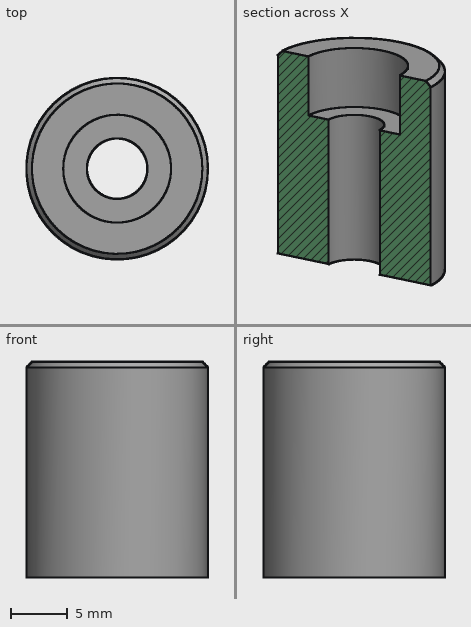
import cadquery as cq

outer_diameter = 16.0
height = 19.0
top_chamfer = 0.5
through_hole_diameter = 5.3
counterbore_diameter = 9.5
counterbore_depth = 5.5


def make_body():
    """Upright cylinder on the XY plane with its top edge chamfered."""
    cylinder = cq.Workplane("XY").circle(outer_diameter / 2).extrude(height)
    return cylinder.faces(">Z").edges().chamfer(top_chamfer)


def cut_counterbored_hole(body):
    """Central through hole, widened by a flat-bottomed counterbore at the top."""
    return body.faces(">Z").workplane().cboreHole(
        through_hole_diameter, counterbore_diameter, counterbore_depth
    )


result = cut_counterbored_hole(make_body())